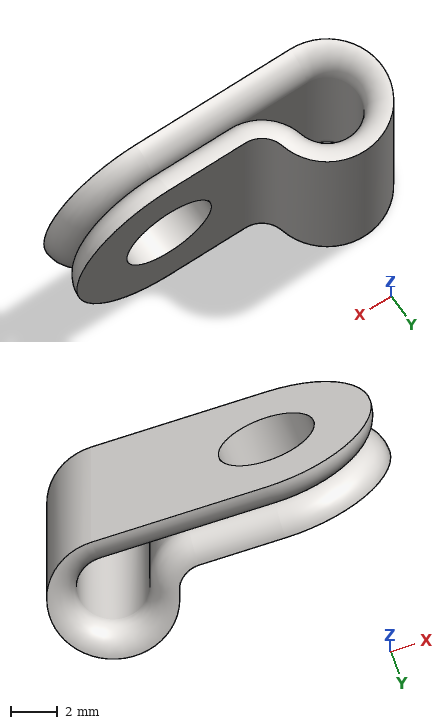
import cadquery as cq
import math

length = 15.56
width = 9.52
loop_diameter = 5.71
thickness = 1.28
hole_diameter = 4.35

half_width = width / 2
loop_radius = loop_diameter / 2
edge_radius = thickness
flat_half = half_width - edge_radius
round_diagonal = edge_radius * math.sqrt(0.5)
bend_radius = thickness
hole_x = length - half_width
bend_y = 2 * thickness + bend_radius
center_distance = loop_radius + bend_radius
joint_angle = math.asin((bend_y - loop_radius) / center_distance)
bend_x = loop_radius + center_distance * math.cos(joint_angle)


def strip_section(plane, outer, direction):
    """Band section: flat outer face, both edges fully rounded toward the inner face.

    Local x runs through the thickness from outer in the given direction (+1 or -1).
    """
    inner = outer + direction * thickness
    arc_x = outer + direction * round_diagonal
    arc_z = flat_half + round_diagonal
    return (
        cq.Workplane(plane)
        .moveTo(outer, -half_width)
        .lineTo(outer, half_width)
        .threePointArc((arc_x, arc_z), (inner, flat_half))
        .lineTo(inner, -flat_half)
        .threePointArc((arc_x, -arc_z), (outer, -half_width))
        .close()
    )


def curved_band(center, start_angle, outer, direction):
    """Bend the band about a Z axis, counterclockwise from start_angle to the -Y direction."""
    radial = cq.Vector(math.cos(start_angle), math.sin(start_angle), 0)
    plane = cq.Plane(origin=(*center, 0), xDir=radial, normal=radial.cross(cq.Vector(0, 0, 1)))
    sweep = 270 - math.degrees(start_angle)
    return strip_section(plane, outer, direction).revolve(sweep, (0, 0), (0, 1))


def flat_tab(start_x, outer_y, direction):
    """Straight band ending in a half disc around the screw hole."""
    plane = cq.Plane(origin=(start_x, 0, 0), xDir=(0, 1, 0), normal=(1, 0, 0))
    straight = strip_section(plane, outer_y, direction).extrude(hole_x - start_x)

    inner_y = outer_y + direction * thickness
    arc_y = outer_y + direction * round_diagonal
    end_plane = cq.Plane(origin=(hole_x, 0, 0), xDir=(0, 1, 0), normal=(1, 0, 0))
    rounded_end = (
        cq.Workplane(end_plane)
        .moveTo(outer_y, 0)
        .lineTo(outer_y, half_width)
        .threePointArc((arc_y, flat_half + round_diagonal), (inner_y, flat_half))
        .lineTo(inner_y, 0)
        .close()
        .revolve(180, (0, 0), (1, 0))
    )
    return straight.union(rounded_end)


loop = curved_band((loop_radius, loop_radius), joint_angle, loop_radius, -1)
reverse_bend = curved_band((bend_x, bend_y), math.pi + joint_angle, bend_radius, 1)
front_tab = flat_tab(loop_radius, 0, 1)
back_tab = flat_tab(bend_x, 2 * thickness, -1)

screw_hole = (
    cq.Workplane("XZ", origin=(hole_x, 0, 0))
    .circle(hole_diameter / 2)
    .extrude(-2 * thickness)
)

result = loop.union(front_tab).union(reverse_bend).union(back_tab).cut(screw_hole)